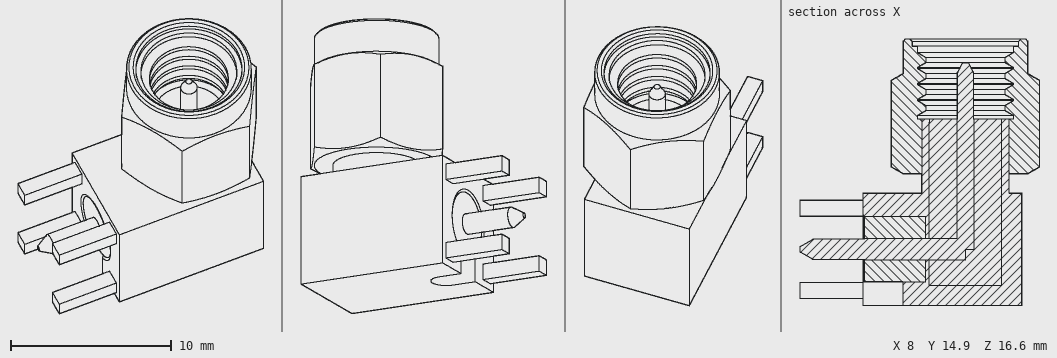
import cadquery as cq
import math


block_size = 7.0
block_back = 3.5
block_front = -6.39
pin_end = -10.31
center_z = block_size / 2
post_side = 1.01
post_offset = 2.55
neck_radius = 2.72

slot_width = 1.95
slot_depth = 2.49

top_z = 16.6
hex_across_flats = 8.0
hex_bottom = 8.2
hex_top = 14.45
collar_radius = 3.88
collar_chamfer = 0.15
hex_turn = 30.0
hex_chamfer_angle = 30.0
hex_corner_radius = hex_across_flats / math.sqrt(3)
hex_chamfer_drop = (hex_corner_radius - collar_radius) * math.tan(math.radians(hex_chamfer_angle))

mouth_radius = 3.3
mouth_chamfer = 0.17
mouth_depth = 0.45
root_radius = 2.99
crest_radius = 2.45
first_flank_depth = 0.85
flank_height = 0.32
crest_height = 0.32
thread_pitch = 1.0
ring_count = 4
neck_top = 11.62

insulator_radius = 2.24
insulator_bottom = center_z - insulator_radius
plug_radius = 2.03
plug_rear = -2.49
recess_flare = 0.17
recess_depth = 0.08
plug_front = block_front + recess_depth

vertical_radius = 0.51
vertical_tip_radius = 0.2
vertical_cone = 0.63
vertical_top = 15.12
horizontal_radius = 0.65
horizontal_tip_radius = 0.17
horizontal_cone = 0.83


def revolve_about_z(points):
    """Revolve an outline of (radius, height) points about the Z axis."""
    return cq.Workplane("XZ").polyline(points).close().revolve(360, (0, 0), (0, 1))


def cylinder_z(radius, bottom, top):
    return cq.Workplane("XY").workplane(offset=bottom).circle(radius).extrude(top - bottom)


def turn_to_front(shape):
    """Lay a shape built upward along +Z onto the horizontal axis, pointing to -Y."""
    return shape.rotate((0, 0, 0), (1, 0, 0), 90).translate((0, 0, center_z))


def make_pointed_pin(radius, tip_radius, cone_length, length):
    """Round pin along +Z with a blunt conical tip."""
    return revolve_about_z([
        (0, 0),
        (radius, 0),
        (radius, length - cone_length),
        (tip_radius, length),
        (0, length),
    ])


def make_contact():
    """Right-angle contact with one pin up and one pin to the front."""
    upright = make_pointed_pin(
        vertical_radius, vertical_tip_radius, vertical_cone, vertical_top - center_z
    ).translate((0, 0, center_z))
    forward = turn_to_front(make_pointed_pin(
        horizontal_radius, horizontal_tip_radius, horizontal_cone, -pin_end
    ))
    return upright.union(forward)


def make_insulator(contact):
    return cylinder_z(insulator_radius, insulator_bottom, neck_top).cut(contact)


def make_plug(contact):
    return turn_to_front(cylinder_z(plug_radius, -plug_rear, -plug_front)).cut(contact)


def make_slot():
    """Round-ended slot from the front face, open through the underside."""
    slot_radius = slot_width / 2
    slot_end = block_front + slot_depth
    return (
        cq.Workplane("XY")
        .moveTo(-slot_radius, block_front)
        .lineTo(slot_radius, block_front)
        .lineTo(slot_radius, slot_end - slot_radius)
        .threePointArc((0, slot_end), (-slot_radius, slot_end - slot_radius))
        .close()
        .extrude(center_z)
    )


def make_plug_bore():
    """Bore for the plug with a flared mouth."""
    return turn_to_front(revolve_about_z([
        (0, -plug_rear),
        (plug_radius, -plug_rear),
        (plug_radius, -plug_front),
        (plug_radius + recess_flare, -block_front),
        (0, -block_front),
    ]))


def make_posts():
    post_length = block_front - pin_end
    centers = [(x, z) for x in (-post_offset, post_offset) for z in (-post_offset, post_offset)]
    posts = cq.Workplane("XY").pushPoints(centers).rect(post_side, post_side).extrude(post_length)
    return turn_to_front(posts.translate((0, 0, -block_front)))


def make_housing(contact):
    block = cq.Workplane("XY").box(
        block_size, block_back - block_front, block_size, centered=(True, False, False)
    ).translate((0, block_front, 0))
    neck = cylinder_z(neck_radius, block_size, neck_top)
    insulator_bore = cylinder_z(insulator_radius, insulator_bottom, neck_top)
    return (
        block.union(neck)
        .union(make_posts())
        .cut(insulator_bore)
        .cut(make_plug_bore())
        .cut(make_slot())
        .cut(contact)
    )


def make_nut_bore():
    """Stepped mouth, thread rings and the fit around the neck."""
    points = [
        (0, top_z),
        (mouth_radius + mouth_chamfer, top_z),
        (mouth_radius, top_z - mouth_chamfer),
        (mouth_radius, top_z - mouth_depth),
        (root_radius, top_z - mouth_depth),
    ]
    for ring in range(ring_count):
        flank_top = top_z - first_flank_depth - ring * thread_pitch
        crest_top = flank_top - flank_height
        crest_bottom = crest_top - crest_height
        points += [
            (root_radius, flank_top),
            (crest_radius, crest_top),
            (crest_radius, crest_bottom),
            (root_radius, crest_bottom - flank_height),
        ]
    points += [
        (root_radius, neck_top),
        (neck_radius, neck_top),
        (neck_radius, hex_bottom),
        (0, hex_bottom),
    ]
    return revolve_about_z(points)


def make_nut():
    """Hexagon with both ends chamfered, below a round collar."""
    hexagon = (
        cq.Workplane("XY")
        .workplane(offset=hex_bottom)
        .polygon(6, 2 * hex_corner_radius)
        .extrude(hex_top - hex_bottom)
        .rotate((0, 0, 0), (0, 0, 1), hex_turn)
    )
    chamfer_envelope = revolve_about_z([
        (0, hex_bottom),
        (collar_radius, hex_bottom),
        (hex_corner_radius, hex_bottom + hex_chamfer_drop),
        (hex_corner_radius, hex_top - hex_chamfer_drop),
        (collar_radius, hex_top),
        (0, hex_top),
    ])
    collar = cylinder_z(collar_radius, hex_top, top_z).faces(">Z").chamfer(collar_chamfer)
    return hexagon.intersect(chamfer_envelope).union(collar).cut(make_nut_bore())


contact = make_contact()
insulator = make_insulator(contact)
plug = make_plug(contact)
housing = make_housing(contact)
nut = make_nut()

result = cq.Compound.makeCompound([
    housing.val(),
    nut.val(),
    insulator.val(),
    plug.val(),
    contact.val(),
])